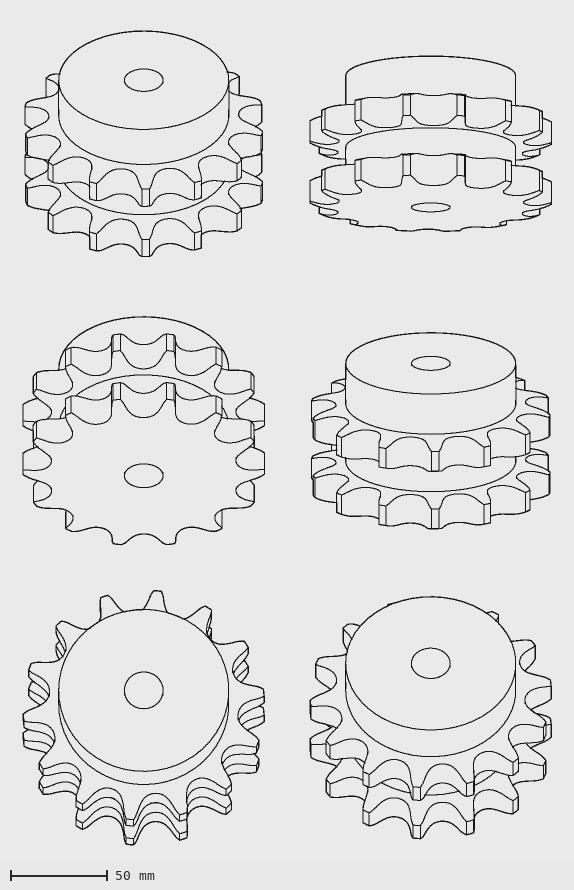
import cadquery as cq
import math


tooth_count = 14
outer_diameter = 125.0
roller_diameter = 15.9
roller_to_pitch = 0.625
chain_pitch = roller_diameter / roller_to_pitch
plate_thickness = 15.9
plate_spacing = 31.9
hub_diameter = 88.0
bore_diameter = 20.0
total_height = 70.0
tip_relief_radius = 25.4
tip_relief_depth = 2.5

outer_radius = outer_diameter / 2
half_step = math.pi / tooth_count
pitch_radius = chain_pitch / 2 / math.sin(half_step)


def polar(center, radius, angle):
    """Point at a distance and direction (radians) from a centre."""
    return (center[0] + radius * math.cos(angle), center[1] + radius * math.sin(angle))


def flank_points():
    """Points along one flank of a tooth gap centred on +Y, from the gap bottom to the tooth point.

    The flank is the standard roller-chain form: seating arc, working arc, straight, topping arc.
    """
    seating_angle = math.radians(35 + 60 / tooth_count)
    working_angle = math.radians(18 - 56 / tooth_count)
    seating_radius = 0.5025 * roller_diameter
    working_radius = 1.3025 * roller_diameter
    working_offset = 0.8 * roller_diameter
    topping_offset = 1.4 * roller_diameter

    roller_center = (0, pitch_radius)
    working_center = polar(roller_center, working_offset, math.pi - seating_angle)
    topping_center = polar(roller_center, topping_offset, -half_step)

    bottom = polar(roller_center, seating_radius, -math.pi / 2)
    seating_mid = polar(roller_center, seating_radius, -(math.pi / 2 + seating_angle) / 2)
    seating_end = polar(roller_center, seating_radius, -seating_angle)
    working_mid = polar(working_center, working_radius, working_angle / 2 - seating_angle)
    straight_angle = working_angle - seating_angle
    working_end = polar(working_center, working_radius, straight_angle)

    across = (math.cos(straight_angle), math.sin(straight_angle))
    along = (-across[1], across[0])
    to_topping = (topping_center[0] - working_end[0], topping_center[1] - working_end[1])
    topping_radius = to_topping[0] * across[0] + to_topping[1] * across[1]
    straight_length = to_topping[0] * along[0] + to_topping[1] * along[1]
    straight_end = polar(working_end, straight_length, straight_angle + math.pi / 2)

    start_angle = math.pi + straight_angle
    tooth_distance = topping_offset - chain_pitch / 2
    end_angle = math.pi - half_step - math.acos(tooth_distance / topping_radius)
    topping_mid = polar(topping_center, topping_radius, (start_angle + end_angle) / 2)
    tooth_point = polar(topping_center, topping_radius, end_angle)

    return [bottom, seating_mid, seating_end, working_mid, working_end,
            straight_end, topping_mid, tooth_point]


def turned(point, angle):
    """Point turned about the sprocket axis."""
    return polar((0, 0), math.hypot(*point), math.atan2(point[1], point[0]) + angle)


def add_rising_flank(outline, flank):
    """Continue an outline from the bottom of a gap up to a tooth point."""
    _, seating_mid, seating_end, working_mid, working_end, straight_end, topping_mid, tooth_point = flank
    return (
        outline.threePointArc(seating_mid, seating_end)
        .threePointArc(working_mid, working_end)
        .lineTo(*straight_end)
        .threePointArc(topping_mid, tooth_point)
    )


def add_falling_flank(outline, flank):
    """Continue an outline from a tooth point down to the bottom of a gap."""
    bottom, seating_mid, seating_end, working_mid, working_end, straight_end, topping_mid, _ = flank
    return (
        outline.threePointArc(topping_mid, straight_end)
        .lineTo(*working_end)
        .threePointArc(working_mid, seating_end)
        .threePointArc(seating_mid, bottom)
    )


def tooth_prism():
    """Toothed outline with pointed teeth, one tooth on +X, as thick as a plate."""
    right_flank = flank_points()
    left_flank = [(-x, y) for x, y in right_flank]
    first_gap = half_step - math.pi / 2
    outline = cq.Workplane("XY").moveTo(*turned(left_flank[-1], first_gap))
    for gap in range(tooth_count):
        angle = first_gap - gap * 2 * half_step
        outline = add_falling_flank(outline, [turned(point, angle) for point in left_flank])
        outline = add_rising_flank(outline, [turned(point, angle) for point in right_flank])
    return outline.close().extrude(plate_thickness)


def relieved_disc():
    """Disc whose two faces curve inwards near the rim."""
    relief_angle = math.acos(1 - tip_relief_depth / tip_relief_radius)
    relief_start = outer_radius - tip_relief_radius * math.sin(relief_angle)
    mid_radius = relief_start + tip_relief_radius * math.sin(relief_angle / 2)
    mid_depth = tip_relief_radius * (1 - math.cos(relief_angle / 2))
    return (
        cq.Workplane("XZ")
        .lineTo(relief_start, 0)
        .threePointArc((mid_radius, mid_depth), (outer_radius, tip_relief_depth))
        .lineTo(outer_radius, plate_thickness - tip_relief_depth)
        .threePointArc((mid_radius, plate_thickness - mid_depth), (relief_start, plate_thickness))
        .lineTo(0, plate_thickness)
        .close()
        .revolve(360, (0, 0, 0), (0, 1, 0))
    )


plate = tooth_prism().intersect(relieved_disc())
hub = cq.Workplane("XY").circle(hub_diameter / 2).extrude(total_height)
bore = cq.Workplane("XY").circle(bore_diameter / 2).extrude(total_height)

result = hub.union(plate).union(plate.translate((0, 0, plate_spacing))).cut(bore)